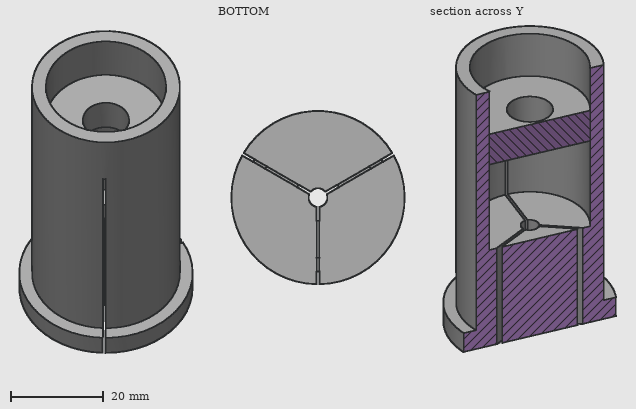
import cadquery as cq

total_height = 66.0
tube_diameter = 32.0
flange_diameter = 37.5
flange_height = 5.0
bore_diameter = 26.0
bore_depth = 41.0
bore_floor_height = total_height - bore_depth
jaw_hole_diameter = 4.0

slit_count = 3
first_slit_angle = 90.0
slit_width = 0.6
slit_height = 53.9

ring_recess_depth = 11.0
ring_hole_diameter = 10.0
ring_height = 8.0
ring_base_height = total_height - ring_recess_depth - ring_height


def make_cylinder(diameter, base_height, height):
    return cq.Workplane("XY", origin=(0, 0, base_height)).circle(diameter / 2).extrude(height)


def make_slit(angle):
    """A thin upright slab from the axis outwards past the flange."""
    slit_reach = flange_diameter
    slab = cq.Workplane("XY").box(slit_reach, slit_width, slit_height, centered=(False, True, False))
    return slab.rotate((0, 0, 0), (0, 0, 1), angle)


def make_sleeve():
    flange = make_cylinder(flange_diameter, 0, flange_height)
    tube = make_cylinder(tube_diameter, 0, total_height)
    bore = make_cylinder(bore_diameter, bore_floor_height, bore_depth)
    jaw_hole = make_cylinder(jaw_hole_diameter, 0, bore_floor_height)
    sleeve = flange.union(tube).cut(bore).cut(jaw_hole)
    for index in range(slit_count):
        angle = first_slit_angle + index * 360.0 / slit_count
        sleeve = sleeve.cut(make_slit(angle))
    return sleeve


def make_ring():
    ring = make_cylinder(bore_diameter, ring_base_height, ring_height)
    ring_hole = make_cylinder(ring_hole_diameter, ring_base_height, ring_height)
    return ring.cut(ring_hole)


sleeve = make_sleeve()
ring = make_ring()

result = cq.Compound.makeCompound([sleeve.val(), ring.val()])